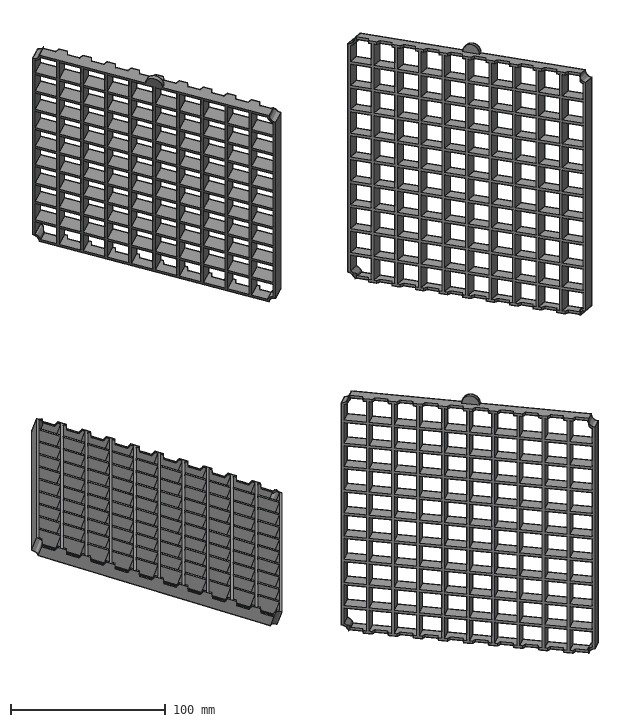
import cadquery as cq

plate_side = 168.0
plate_depth = 10.0
overall_height = 174.0

cell_count = 10
wall = 2.0
pitch = (plate_side - wall) / cell_count
cell_side = pitch - wall

corner_radius = 4.5
corner_wall = 1.5

tab_radius = overall_height - plate_side
tab_thickness = 3.0

notch_mouth = 10.8
notch_floor = 8.4
notch_depth = 3.0
notch_reach = corner_radius + corner_wall

half_side = plate_side / 2
front_y = -plate_depth / 2
back_y = plate_depth / 2
corner_points = [(x, z) for x in (-half_side, half_side) for z in (-half_side, half_side)]


def front_sketch():
    """Workplane on the front face; local axes are X and Z, extruding by a negative length goes to +Y."""
    return cq.Workplane("XZ", origin=(0, front_y, 0))


def corner_cylinders(radius):
    """Full-depth cylinders along Y at the four corners of the plate."""
    return front_sketch().pushPoints(corner_points).circle(radius).extrude(-plate_depth)


def grid_plate():
    """Square plate with all cells opened through and its corners scooped away."""
    plate = front_sketch().rect(plate_side, plate_side).extrude(-plate_depth)
    cells = (
        front_sketch()
        .rarray(pitch, pitch, cell_count, cell_count)
        .rect(cell_side, cell_side)
        .extrude(-plate_depth)
    )
    corner_backing = corner_cylinders(corner_radius + corner_wall)
    return plate.cut(cells.cut(corner_backing)).cut(corner_cylinders(corner_radius))


def tab():
    """Half-round tab standing on the middle of the top edge."""
    return (
        front_sketch()
        .moveTo(-tab_radius, half_side)
        .threePointArc((0, half_side + tab_radius), (tab_radius, half_side))
        .close()
        .extrude(-tab_thickness)
    )


def notches(bottom):
    """One notch per cell along the back edge, reaching upward from the height given as bottom."""
    floor_y = back_y - notch_depth
    cutter = cq.Workplane("XY", origin=(0, 0, bottom))
    for column in range(cell_count):
        center = (column - (cell_count - 1) / 2) * pitch
        cutter = cutter.polyline(
            [
                (center - notch_mouth / 2, back_y),
                (center - notch_floor / 2, floor_y),
                (center + notch_floor / 2, floor_y),
                (center + notch_mouth / 2, back_y),
            ]
        ).close()
    return cutter.extrude(notch_reach)


body = grid_plate().union(tab())
for notch_bottom in (-half_side, half_side - notch_reach):
    body = body.cut(notches(notch_bottom))

result = body.translate((0, 0, -tab_radius / 2))